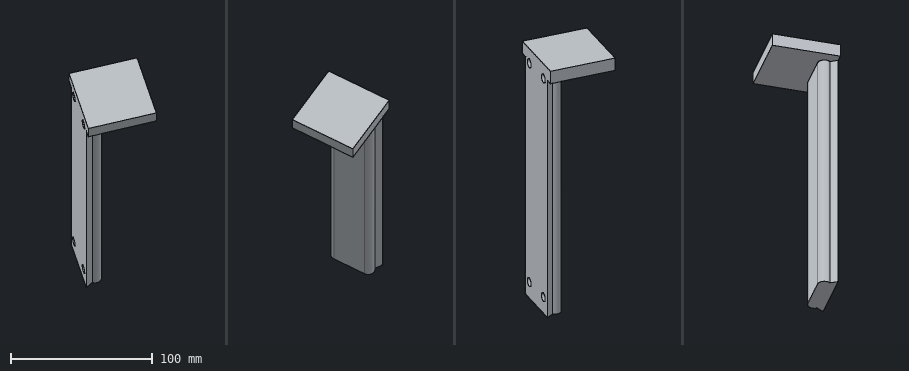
import cadquery as cq
import math

cap_side = 50.0
cap_thickness = 10.0
total_height = 198.9

leg_width = 39.4
leg_depth = 13.3
bead_radius = 5.0
bead_inset = 2.2
flank_depth = 5.4

hole_diameter = 6.5
hole_depth = 10.0
hole_spacing_x = 24.9
hole_spacing_z = 174.2
lower_hole_height = 13.0

leg_height = total_height - cap_thickness
bead_center_x = leg_width / 2 - bead_inset - bead_radius
bead_center_y = leg_depth - bead_radius


def bead_point(angle_degrees):
    """Point on the right-hand bead; 0 degrees is its outermost point, 90 its rearmost."""
    angle = math.radians(angle_degrees)
    return (
        bead_center_x + bead_radius * math.cos(angle),
        bead_center_y + bead_radius * math.sin(angle),
    )


def mirrored(point):
    return (-point[0], point[1])


def make_cap():
    return (
        cq.Workplane("XY", origin=(0, 0, leg_height))
        .rect(cap_side, cap_side)
        .extrude(cap_thickness)
        .translate((0, cap_side / 2, 0))
    )


def make_leg():
    groove_angle = -math.degrees(math.asin((bead_center_y - flank_depth) / bead_radius))
    rear_angle = 90
    groove = bead_point(groove_angle)
    bead_middle = bead_point((groove_angle + rear_angle) / 2)
    rear = bead_point(rear_angle)
    return (
        cq.Workplane("XY")
        .moveTo(-leg_width / 2, 0)
        .lineTo(leg_width / 2, 0)
        .lineTo(*groove)
        .threePointArc(bead_middle, rear)
        .lineTo(*mirrored(rear))
        .threePointArc(mirrored(bead_middle), mirrored(groove))
        .close()
        .extrude(leg_height)
    )


def make_holes():
    hole_center_z = lower_hole_height + hole_spacing_z / 2
    return (
        cq.Workplane("XZ", origin=(0, 0, hole_center_z))
        .rarray(hole_spacing_x, hole_spacing_z, 2, 2)
        .circle(hole_diameter / 2)
        .extrude(-hole_depth)
    )


result = make_cap().union(make_leg()).cut(make_holes())